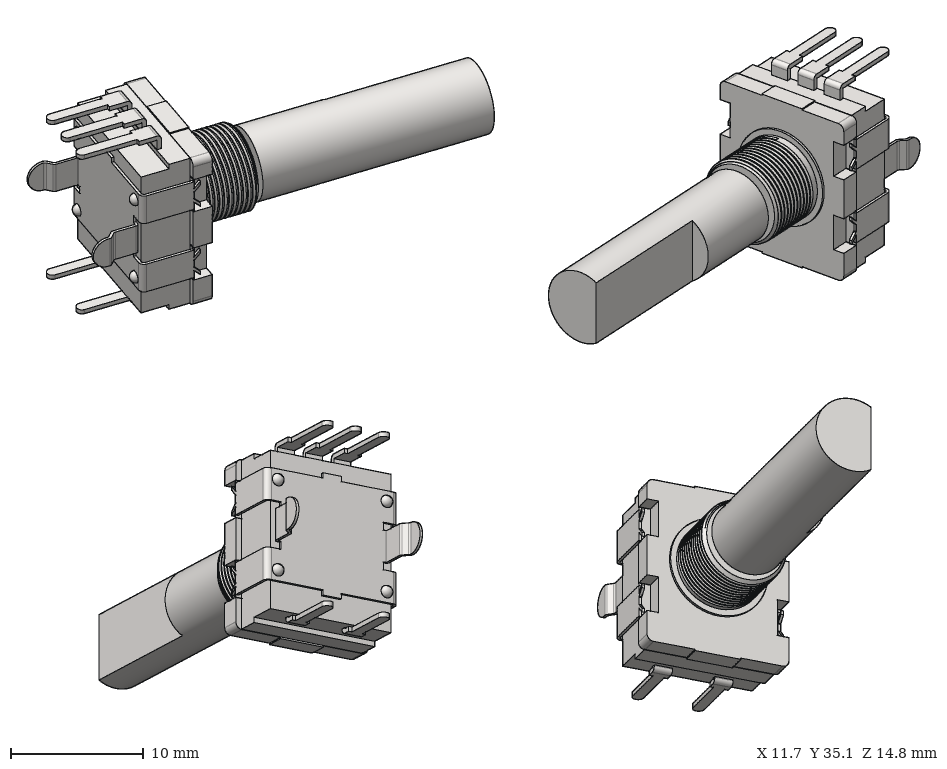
import cadquery as cq
import math


overall_length = 35.1

plate_width = 11.7
plate_half_width = plate_width / 2
plate_top = 6.4
plate_bottom = -7.15
plate_thickness = 1.6
plate_corner_radius = 0.53
pad_width = 3.8
pad_height = 0.1

flange_radius = 4.0
flange_thickness = 0.2
bushing_radius = 3.5
bushing_length = 5.2
bushing_chamfer = 0.28
ten_turn_length = 4.0
thread_pitch = ten_turn_length / 10
thread_depth = 0.18
thread_width = 0.28
thread_start = 0.6
groove_overshoot = 0.05
blank_end = bushing_length + 3 * thread_pitch

shaft_radius = 3.02
neck_radius = 2.0
shaft_tip = 25.2
shaft_length = 19.5
flat_length = 12.0
flat_x = -1.5

base_half_width = 5.35
base_top = plate_top - 0.05
base_bottom = plate_bottom + 0.05
base_rear = -5.75
base_step_y = -3.4
base_step_depth = 0.42
stud_radius = 0.5
stud_height = 0.42
stud_x = 4.8
stud_spacing_z = 7.2
stud_z = stud_spacing_z / 2

sheet = 0.228
bend_radius = 0.45
strap_rear = base_rear - sheet
arm_outer_z = 4.45
arm_inner_z = 1.9
arm_center_z = (arm_outer_z + arm_inner_z) / 2
locating_tab_width = 1.6
locating_tab_height = 0.42
relief_x = 4.53

notch_height = 3.0
notch_half_height = notch_height / 2
notch_depth = 0.95
web_thickness = 0.053
web_recess = 0.053
web_rear = web_recess - plate_thickness
finger_width = 0.228
finger_root = 0.45
finger_rise = 0.55

lug_half_height = 1.25
lug_x = 5.02
lug_tip_x = 5.58
lug_fold_inner_radius = 0.05
lug_fold_outer_radius = lug_fold_inner_radius + sheet
lug_jog_radius = 0.28
lug_jog_start = -7.85
lug_jog_end = -8.4
lug_tip = shaft_tip - overall_length

terminal_pitch = 2.5
terminal_thickness = 0.4
terminal_tip = -9.75
terminal_wide = 1.5
terminal_narrow = 0.9
terminal_bend = 0.4
upper_terminal_z = 7.6
leg_setback = 0.05
upper_leg_y = base_step_y + leg_setback + terminal_thickness
upper_shoulder_y = -4.88
lower_terminal_z = -7.15
lower_leg_y = -4.55
lower_shoulder_y = -5.5
leg_embedding = 0.35


def box(x0, x1, y0, y1, z0, z1):
    """Block between two opposite corners."""
    return cq.Workplane("XY").box(x1 - x0, y1 - y0, z1 - z0, centered=False).translate((x0, y0, z0))


def rod(radius, y0, y1):
    """Cylinder on the shaft axis between two Y positions."""
    return cq.Workplane("XZ", origin=(0, y1, 0)).circle(radius).extrude(y1 - y0)


def make_shaft():
    shaft = rod(shaft_radius, shaft_tip - shaft_length, shaft_tip)
    flat_cut = box(
        -shaft_radius, flat_x, shaft_tip - flat_length, shaft_tip, -shaft_radius, shaft_radius
    )
    neck = rod(neck_radius, -plate_thickness, shaft_tip - shaft_length)
    return shaft.cut(flat_cut).union(neck)


def make_thread_groove():
    """Helical V groove, built along Z and turned onto the shaft axis."""
    height = bushing_length + thread_pitch - thread_start
    path = cq.Wire.makeHelix(thread_pitch, height, bushing_radius)
    mouth_half_width = thread_width / 2 * (1 + groove_overshoot / thread_depth)
    profile = cq.Workplane("XZ").polyline(
        [
            (bushing_radius - thread_depth, 0),
            (bushing_radius + groove_overshoot, mouth_half_width),
            (bushing_radius + groove_overshoot, -mouth_half_width),
        ]
    ).close()
    groove = profile.sweep(cq.Workplane(obj=path), isFrenet=True)
    upright = groove.rotate((0, 0, 0), (0, 0, 1), -90).rotate((0, 0, 0), (1, 0, 0), -90)
    return upright.translate((0, thread_start, 0))


def make_bushing():
    """Sleeve threaded along an overlong blank, then trimmed to length with a chamfered end."""
    trim_radius = bushing_radius + bushing_chamfer
    trim = (
        cq.Workplane("XY")
        .moveTo(0, bushing_length)
        .lineTo(bushing_radius - bushing_chamfer, bushing_length)
        .lineTo(trim_radius, bushing_length - 2 * bushing_chamfer)
        .lineTo(trim_radius, blank_end)
        .lineTo(0, blank_end)
        .close()
        .revolve(360, (0, 0, 0), (0, 1, 0))
    )
    sleeve = rod(bushing_radius, 0, blank_end).cut(make_thread_groove()).cut(trim)
    return sleeve.union(rod(flange_radius, 0, flange_thickness))


def make_plate():
    plate = box(-plate_half_width, plate_half_width, -plate_thickness, 0, plate_bottom, plate_top)
    plate = plate.edges("|Y").fillet(plate_corner_radius)
    pads = box(
        -pad_width / 2, pad_width / 2, -plate_thickness, 0,
        plate_bottom - pad_height, plate_top + pad_height,
    )
    plate = plate.union(pads)
    floor_x = plate_half_width - notch_depth
    for side in (-1, 1):
        x0, x1 = sorted((side * floor_x, side * plate_half_width))
        for arm_z in (-arm_center_z, arm_center_z):
            z0 = arm_z - notch_half_height
            z1 = arm_z + notch_half_height
            plate = plate.cut(box(x0, x1, web_rear + web_thickness, 0, z0, z1))
            plate = plate.cut(box(x0, x1, -plate_thickness, web_rear, z0, z1))
    return plate


def make_base():
    block = box(
        -base_half_width, base_half_width, base_step_y, -plate_thickness, base_bottom, base_top
    )
    rear = box(
        -base_half_width, base_half_width, base_rear, base_step_y,
        base_bottom + base_step_depth, base_top - base_step_depth,
    )
    return block.union(rear)


def make_stud(x, z):
    """Round post through the strap, ending in a dome."""
    arc_x = stud_radius * math.cos(math.pi / 4)
    arc_y = strap_rear - stud_height * math.sin(math.pi / 4)
    profile = (
        cq.Workplane("XY")
        .moveTo(0, base_rear)
        .lineTo(stud_radius, base_rear)
        .lineTo(stud_radius, strap_rear)
        .threePointArc((arc_x, arc_y), (0, strap_rear - stud_height))
        .close()
    )
    return profile.revolve(360, (0, 0, 0), (0, 1, 0)).translate((x, 0, z))


def make_studs():
    return [make_stud(x, z) for x in (-stud_x, stud_x) for z in (-stud_z, stud_z)]


def make_terminal(x, outer_z, side, leg_y, shoulder_y, leg_end_z):
    """Pin bent at a right angle; its leg enters the base and side is +1 above, -1 below."""
    inner_z = outer_z - side * terminal_thickness
    bent = (
        cq.Workplane("YZ", origin=(-terminal_wide / 2, 0, 0))
        .moveTo(leg_y, leg_end_z)
        .lineTo(leg_y, outer_z - side * terminal_bend)
        .radiusArc((leg_y - terminal_bend, outer_z), -side * terminal_bend)
        .lineTo(terminal_tip, outer_z)
        .lineTo(terminal_tip, inner_z)
        .lineTo(leg_y - terminal_thickness, inner_z)
        .lineTo(leg_y - terminal_thickness, leg_end_z)
        .close()
        .extrude(terminal_wide)
    )
    z0, z1 = sorted((outer_z, leg_end_z))
    head = box(-terminal_wide / 2, terminal_wide / 2, shoulder_y, leg_y, z0, z1)
    half = terminal_narrow / 2
    blade = (
        cq.Workplane("XY", origin=(0, 0, z0))
        .moveTo(-half, shoulder_y)
        .lineTo(-half, terminal_tip + half)
        .threePointArc((0, terminal_tip), (half, terminal_tip + half))
        .lineTo(half, shoulder_y)
        .close()
        .extrude(z1 - z0)
    )
    return bent.intersect(head.union(blade)).translate((x, 0, 0))


def make_housing():
    housing = make_plate().union(make_bushing()).union(make_base())
    for stud in make_studs():
        housing = housing.union(stud)
    upper_leg_end = base_top - leg_embedding
    lower_leg_end = base_bottom + base_step_depth + leg_embedding
    for x in (-terminal_pitch, 0, terminal_pitch):
        housing = housing.union(
            make_terminal(x, upper_terminal_z, 1, upper_leg_y, upper_shoulder_y, upper_leg_end)
        )
    for x in (-terminal_pitch, terminal_pitch):
        housing = housing.union(
            make_terminal(x, lower_terminal_z, -1, lower_leg_y, lower_shoulder_y, lower_leg_end)
        )
    return housing


def make_strap_channel():
    """Back sheet with an arm folded forward along each side, running the full arm height."""
    outer = box(
        -plate_half_width, plate_half_width, strap_rear, web_rear, -arm_outer_z, arm_outer_z
    )
    outer = outer.edges("|Z and <Y").fillet(bend_radius)
    inner_half = plate_half_width - sheet
    inner = box(-inner_half, inner_half, base_rear, web_rear, -arm_outer_z, arm_outer_z)
    inner = inner.edges("|Z and <Y").fillet(bend_radius - sheet)
    return outer.cut(inner)


def make_finger(side, arm_z, direction):
    """Prong at the outer face of an arm end, splayed at 45 degrees away from the arm centre."""
    root = arm_z + direction * finger_root
    half = finger_width / math.sqrt(2)
    profile = [
        (web_rear, root - half),
        (web_rear, root + half),
        (web_rear + finger_rise, root + half + direction * finger_rise),
        (web_rear + finger_rise, root - half + direction * finger_rise),
    ]
    x0 = min(side * plate_half_width, side * (plate_half_width - sheet))
    return cq.Workplane("YZ", origin=(x0, 0, 0)).polyline(profile).close().extrude(sheet)


def make_lug_outline():
    """Side outline of a lug: a strip ending in a half circle."""
    return (
        cq.Workplane("YZ")
        .moveTo(base_rear, -lug_half_height)
        .lineTo(lug_tip + lug_half_height, -lug_half_height)
        .threePointArc((lug_tip, 0), (lug_tip + lug_half_height, lug_half_height))
        .lineTo(base_rear, lug_half_height)
        .close()
        .extrude(plate_half_width)
    )


def make_right_lug():
    """Tongue bent rearward from the back sheet, jogged outward and rounded at its tip."""
    fold_x = lug_x - lug_fold_outer_radius
    fold_y = strap_rear - lug_fold_inner_radius
    outline = (
        cq.Workplane("XY", origin=(0, 0, -lug_half_height))
        .moveTo(relief_x - sheet, base_rear)
        .lineTo(fold_x, base_rear)
        .radiusArc((lug_x, fold_y), lug_fold_outer_radius)
        .lineTo(lug_x, lug_jog_start)
        .lineTo(lug_tip_x, lug_jog_end)
        .lineTo(lug_tip_x, lug_tip)
        .lineTo(lug_tip_x - sheet, lug_tip)
        .lineTo(lug_tip_x - sheet, lug_jog_end - sheet / 2)
        .lineTo(lug_x - sheet, lug_jog_start - sheet / 2)
        .lineTo(lug_x - sheet, fold_y)
        .radiusArc((fold_x, strap_rear), -lug_fold_inner_radius)
        .lineTo(relief_x - sheet, strap_rear)
        .close()
        .extrude(2 * lug_half_height)
    )
    jog = cq.selectors.BoxSelector(
        (0, lug_jog_end - sheet, -lug_half_height),
        (plate_half_width, lug_jog_start + sheet, lug_half_height),
    )
    return outline.edges("|Z").edges(jog).fillet(lug_jog_radius).intersect(make_lug_outline())


def make_strap():
    strap = make_strap_channel()
    tabs = box(
        -locating_tab_width / 2, locating_tab_width / 2, strap_rear, base_rear,
        -arm_outer_z - locating_tab_height, arm_outer_z + locating_tab_height,
    )
    strap = strap.union(tabs)
    for side in (-1, 1):
        x0, x1 = sorted((side * relief_x, side * plate_half_width))
        strap = strap.cut(box(x0, x1, strap_rear, web_rear, -arm_inner_z, arm_inner_z))
        for arm_z in (-arm_center_z, arm_center_z):
            for direction in (-1, 1):
                strap = strap.union(make_finger(side, arm_z, direction))
    lug = make_right_lug()
    strap = strap.union(lug).union(lug.mirror("YZ"))
    for stud in make_studs():
        strap = strap.cut(stud)
    return strap


shaft = make_shaft()
strap = make_strap()
housing = make_housing()

housing = housing.cut(strap).cut(shaft)

result = cq.Compound.makeCompound([housing.val(), strap.val(), shaft.val()])